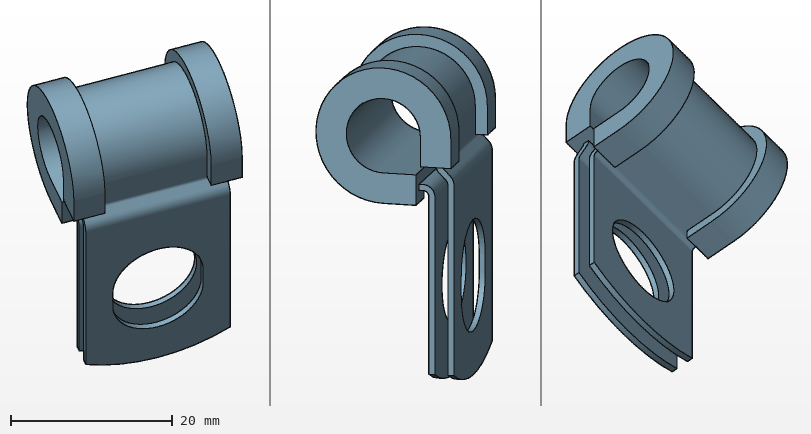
import cadquery as cq
import math

length = 22.1
cushion_radius = 8.625
bore_radius = 4.75
side_leg = 3.65
bottom_leg = 4.15
collar_length = 4.07

strap_thickness = 0.8
strap_radius = 7.1
strap_width = 18.97
strap_inner_radius = strap_radius - strap_thickness

overall_height = 41.15
plate_bottom = cushion_radius - overall_height
near_plate_face = 5.4
near_bend_radius = 0.7
tip_sagitta = 2.15
hole_radius = 5.93
hole_z = -19.85
slot_center_distance = 2.3

jog_start = -3.75
jog_angle = math.radians(45)
upper_jog_radius = 0.5
lower_jog_radius = 1.0


def extrude_centered(profile, width):
    """Extrude a closed XZ profile symmetrically along Y."""
    return profile.extrude(width / 2, both=True)


def loop(outer, inner, width):
    """C-shaped band with one leg pointing down and one pointing to +X."""
    profile = (
        cq.Workplane("XZ")
        .moveTo(outer, -side_leg)
        .lineTo(outer, 0)
        .threePointArc((-outer * math.sqrt(0.5), outer * math.sqrt(0.5)), (0, -outer))
        .lineTo(bottom_leg, -outer)
        .lineTo(bottom_leg, -inner)
        .lineTo(0, -inner)
        .threePointArc((-inner * math.sqrt(0.5), inner * math.sqrt(0.5)), (inner, 0))
        .lineTo(inner, -side_leg)
        .close()
    )
    return extrude_centered(profile, width)


def cushion():
    sleeve = loop(strap_radius, bore_radius, length)
    collar = loop(cushion_radius, bore_radius, collar_length)
    offset = (length - collar_length) / 2
    for y in (-offset, offset):
        sleeve = sleeve.union(collar.translate((0, y, 0)))
    return sleeve


def near_plate():
    """Plate bent down from the bottom leg of the strap."""
    far_face = near_plate_face + strap_thickness
    outer_bend = near_bend_radius + strap_thickness
    center_x = near_plate_face - near_bend_radius
    center_z = -strap_radius - near_bend_radius
    diagonal = math.sqrt(0.5)
    profile = (
        cq.Workplane("XZ")
        .moveTo(bottom_leg, -strap_inner_radius)
        .lineTo(center_x, -strap_inner_radius)
        .threePointArc(
            (center_x + outer_bend * diagonal, center_z + outer_bend * diagonal),
            (far_face, center_z),
        )
        .lineTo(far_face, plate_bottom)
        .lineTo(near_plate_face, plate_bottom)
        .lineTo(near_plate_face, center_z)
        .threePointArc(
            (center_x + near_bend_radius * diagonal, center_z + near_bend_radius * diagonal),
            (center_x, -strap_radius),
        )
        .lineTo(bottom_leg, -strap_radius)
        .close()
    )
    return extrude_centered(profile, strap_width)


def far_plate():
    """Plate hanging from the side leg, jogged out to the cushion's +X face."""
    upper_x = strap_radius + upper_jog_radius
    lower_outer_radius = lower_jog_radius + strap_thickness
    lower_x = cushion_radius - lower_outer_radius
    upper_outer_radius = upper_jog_radius + strap_thickness

    bend_radii = upper_jog_radius + lower_outer_radius
    shift = cushion_radius - strap_radius
    slant_run = shift - bend_radii * (1 - math.cos(jog_angle))
    jog_height = bend_radii * math.sin(jog_angle) + slant_run / math.tan(jog_angle)
    lower_z = jog_start - jog_height

    def upper_point(radius, angle):
        return upper_x - radius * math.cos(angle), jog_start - radius * math.sin(angle)

    def lower_point(radius, angle):
        return lower_x + radius * math.cos(angle), lower_z + radius * math.sin(angle)

    half = jog_angle / 2
    profile = (
        cq.Workplane("XZ")
        .moveTo(strap_radius, -side_leg)
        .lineTo(strap_radius, jog_start)
        .threePointArc(upper_point(upper_jog_radius, half), upper_point(upper_jog_radius, jog_angle))
        .lineTo(*lower_point(lower_outer_radius, jog_angle))
        .threePointArc(lower_point(lower_outer_radius, half), (cushion_radius, lower_z))
        .lineTo(cushion_radius, plate_bottom)
        .lineTo(cushion_radius - strap_thickness, plate_bottom)
        .lineTo(cushion_radius - strap_thickness, lower_z)
        .threePointArc(lower_point(lower_jog_radius, half), lower_point(lower_jog_radius, jog_angle))
        .lineTo(*upper_point(upper_outer_radius, jog_angle))
        .threePointArc(upper_point(upper_outer_radius, half), (strap_inner_radius, jog_start))
        .lineTo(strap_inner_radius, -side_leg)
        .close()
    )
    return extrude_centered(profile, strap_width)


def plate_outline():
    """Block along X with the rounded lower edge, used to trim both plates."""
    corner_z = plate_bottom + tip_sagitta
    half_width = strap_width / 2
    return (
        cq.Workplane("YZ")
        .moveTo(-half_width, 0)
        .lineTo(-half_width, corner_z)
        .threePointArc((0, plate_bottom), (half_width, corner_z))
        .lineTo(half_width, 0)
        .close()
        .extrude(2 * cushion_radius)
    )


def trimmed(plate, hole_cutter):
    return plate.intersect(plate_outline()).cut(hole_cutter)


hole_plane = cq.Workplane("YZ").center(0, hole_z)
round_hole = hole_plane.circle(hole_radius).extrude(2 * cushion_radius)
slot_length = slot_center_distance + 2 * hole_radius
slotted_hole = hole_plane.slot2D(slot_length, 2 * hole_radius, 90).extrude(2 * cushion_radius)

result = (
    cushion()
    .union(trimmed(near_plate(), round_hole))
    .union(trimmed(far_plate(), slotted_hole))
)